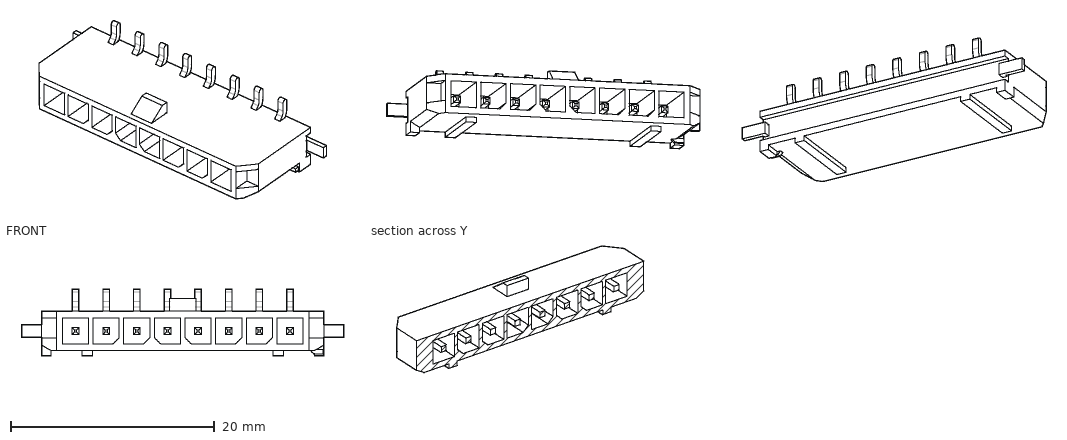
import cadquery as cq
import math


body_width = 27.72
body_depth = 9.87
body_height = 3.9
corner_width = 1.45
corner_depth = 1.7
pocket_bottom = 1.23
pocket_top = 3.23
bevel_width = 0.95
bevel_height = 0.57
groove_depth = 0.65
groove_bottom = 0.7
groove_top = 3.23

way_count = 8
pitch = 3.0
contact_height = 1.93
cavity_size = 2.55
cavity_depth = 6.95
cavity_chamfer = 0.63
right_keyed_ways = (1, 2, 5, 6)
left_keyed_ways = (3, 4)
pin_size = 0.65
pin_tip_size = 0.22
pin_taper_length = 0.2
pin_tip_y = 2.53

tail_thickness = 0.6
tail_top = 6.05
tail_bend_height = 4.85
tail_bend_radius = 1.15
tail_bend_angle = 30
tail_root_angle = 42
tail_root_bottom = 3.48

latch_width = 2.6
latch_height = 1.23
latch_front = 0.57
latch_crest = 2.25
latch_back = 2.95

foot_drop = 0.5
foot_width = 0.95
foot_length = 1.77
rail_width = 1.05
rail_offset = 9.35
rail_front = 1.6
key_top = 0.1
key_bottom = -0.32
key_inset = 0.1
key_width = 1.0
key_length = 0.47

overall_width = 31.65
tab_inner_x = 13.23
tab_back = 9.95
tab_thickness = 0.5
tab_height = 1.23

half_width = body_width / 2
way_positions = [(i - (way_count - 1) / 2) * pitch for i in range(way_count)]


def box(x_min, x_max, y_min, y_max, z_min, z_max):
    """Axis-aligned block given by its limits."""
    size = (x_max - x_min, y_max - y_min, z_max - z_min)
    return cq.Workplane("XY").box(*size, centered=False).translate((x_min, y_min, z_min))


def mirrored_pair(shape):
    """The shape together with its mirror image across X = 0."""
    return shape.union(shape.mirror("YZ"))


def extrude_along_y(points, y_min, y_max):
    """Prism running along Y over an outline of (x, z) points."""
    prism = cq.Workplane("XZ").polyline(points).close().extrude(y_min - y_max)
    return prism.translate((0, y_min, 0))


def extrude_along_x(outline, width, x_centre):
    """Prism from a closed (y, z) outline, centred on x_centre."""
    return outline.extrude(width / 2, both=True).translate((x_centre, 0, 0))


def housing():
    inner_x = half_width - corner_width
    plan = [
        (-half_width, body_depth),
        (half_width, body_depth),
        (half_width, corner_depth),
        (inner_x, 0),
        (-inner_x, 0),
        (-half_width, corner_depth),
    ]
    block = cq.Workplane("XY").polyline(plan).close().extrude(body_height)

    bevel = [
        (half_width, 0),
        (half_width, bevel_height),
        (half_width - bevel_width, 0),
    ]
    block = block.cut(mirrored_pair(extrude_along_y(bevel, 0, body_depth)))

    pocket = box(inner_x, half_width, 0, corner_depth, pocket_bottom, pocket_top)
    return block.cut(mirrored_pair(pocket))


def rear_groove():
    groove_front = body_depth - groove_depth
    return box(-half_width, half_width, groove_front, body_depth, groove_bottom, groove_top)


def feet():
    foot_front = body_depth - foot_length
    foot = box(half_width - foot_width, half_width, foot_front, body_depth, -foot_drop, groove_bottom)

    rail_inner = rail_offset - rail_width / 2
    rail = box(rail_inner, rail_inner + rail_width, rail_front, body_depth, -foot_drop, groove_bottom)

    key_inner = half_width - key_width
    key_outer = half_width - key_inset
    key_taper = key_top - key_bottom
    key = [
        (key_outer, key_bottom),
        (key_outer, key_top),
        (key_inner - key_taper, key_top),
        (key_inner, key_bottom),
    ]
    return mirrored_pair(foot.union(rail)).union(
        extrude_along_y(key, foot_front - key_length, foot_front)
    )


def cavity(way):
    """Square contact cavity; keyed ways lose one lower corner."""
    opening = cq.Workplane("XZ").rect(cavity_size, cavity_size).extrude(-cavity_depth)
    if way in right_keyed_ways:
        opening = opening.edges("|Y and >X and <Z").chamfer(cavity_chamfer)
    if way in left_keyed_ways:
        opening = opening.edges("|Y and <X and <Z").chamfer(cavity_chamfer)
    return opening.translate((way_positions[way], 0, contact_height))


def pin(x):
    """Square contact with a pyramid tip, rooted in the cavity floor."""
    shaft_start = pin_tip_y + pin_taper_length
    half = pin_size / 2
    shaft = box(x - half, x + half, shaft_start, cavity_depth, contact_height - half, contact_height + half)
    tip = (
        cq.Workplane("XZ")
        .rect(pin_size, pin_size)
        .workplane(offset=pin_taper_length)
        .rect(pin_tip_size, pin_tip_size)
        .loft()
        .translate((x, shaft_start, contact_height))
    )
    return shaft.union(tip)


def tail(x):
    """Solder tail: a sloping root, a bend and an upright blade with a round end."""
    front_y = body_depth - tail_thickness
    centre_y = front_y - tail_bend_radius
    outer_radius = tail_bend_radius + tail_thickness
    angle = math.radians(tail_bend_angle)
    root_slope = math.tan(math.radians(tail_root_angle))
    end_radius = tail_thickness / 2

    def bend_point(radius, turn):
        return (centre_y + radius * math.cos(turn), tail_bend_height - radius * math.sin(turn))

    def root_point(radius):
        y, z = bend_point(radius, angle)
        return (y - (z - tail_root_bottom) * root_slope, tail_root_bottom)

    outline = (
        cq.Workplane("YZ")
        .moveTo(front_y, tail_top - end_radius)
        .threePointArc((body_depth - end_radius, tail_top), (body_depth, tail_top - end_radius))
        .lineTo(body_depth, tail_bend_height)
        .threePointArc(bend_point(outer_radius, angle / 2), bend_point(outer_radius, angle))
        .lineTo(*root_point(outer_radius))
        .lineTo(*root_point(tail_bend_radius))
        .lineTo(*bend_point(tail_bend_radius, angle))
        .threePointArc(bend_point(tail_bend_radius, angle / 2), (front_y, tail_bend_height))
        .close()
    )
    return extrude_along_x(outline, pin_size, x)


def latch():
    crest = body_height + latch_height
    profile = [
        (latch_front, body_height),
        (latch_crest, crest),
        (latch_back, crest),
        (latch_back, body_height),
    ]
    return extrude_along_x(cq.Workplane("YZ").polyline(profile).close(), latch_width, 0)


def mounting_tabs():
    """Flat end tabs, each with a leg turned forward into the groove floor."""
    z_min = contact_height - tab_height / 2
    z_max = contact_height + tab_height / 2
    groove_front = body_depth - groove_depth
    plate = box(tab_inner_x, overall_width / 2, tab_back - tab_thickness, tab_back, z_min, z_max)
    leg = box(tab_inner_x, tab_inner_x + tab_thickness, groove_front, tab_back, z_min, z_max)
    return mirrored_pair(plate.union(leg))


result = housing().union(feet()).cut(rear_groove())
for way, way_x in enumerate(way_positions):
    result = result.cut(cavity(way)).union(pin(way_x)).union(tail(way_x))
result = result.union(latch()).union(mounting_tabs())